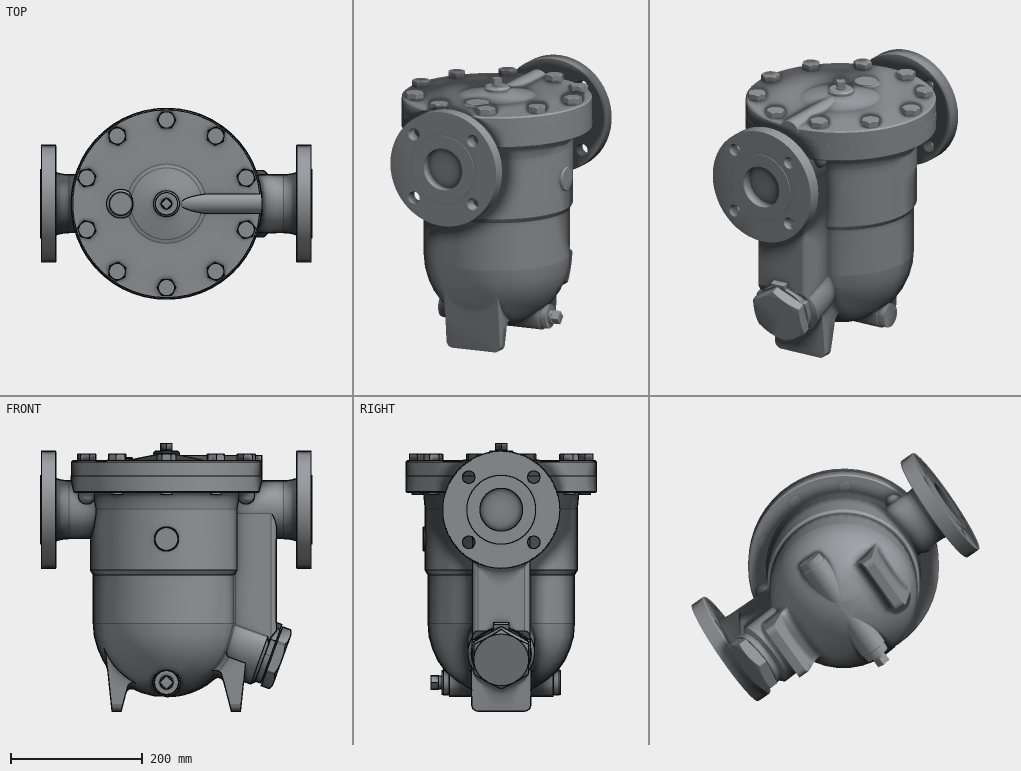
import cadquery as cq
import math


overall_length = 412.0
line_x = 15.0
line_z = 306.0
pipe_radius = 44.0
hub_radius = 47.5
flange_radius = 89.0
flange_thickness = 22.2
raised_face_radius = 52.5
raised_face_height = 1.2
bore_radius = 32.5
bore_depth = 18.5
hub_length = 19.5
flange_edge = 1.2
flange_hole_diameter = 19.0
flange_hole_offset = 49.5

body_radius = 115.8
neck_radius = 118.2
bowl_radius = 111.2
bowl_z = 133.0
step_low_z = 207.2
step_high_z = 214.2
neck_low_z = 307.5

rim_radius = 145.0
lid_radius = 144.5
rim_bottom_z = 332.0
joint_z = 357.0
lid_top_z = 380.5
rim_chamfer = 2.0

bolt_count = 10
bolt_circle_radius = 127.5
bolt_head_width = 24.7
bolt_head_height = 10.5
bolt_radius = 8.05
bolt_end_length = 2.5
blind_boss_radius = 12.8
blind_boss_z = 326.7
bolts_over_pipe = (2, 3, 7, 8)

cone_foot_radius = 60.0
cone_base_radius = 54.5
cone_base_height = 1.2
cone_top_radius = 19.8
cone_top_height = 8.2
hub_height = 14.5
hub_edge = 3.0
vent_neck_radius = 8.0
vent_square = 12.5
vent_square_z = 397.0
vent_top_z = 407.0
rib_radius = 17.7
rib_height = 8.0
lid_pad_x = -69.2
lid_pad_radius = 17.7
lid_pad_height = 4.5
lid_pad_edge = 1.2
lid_pad_foot = 4.0

front_pad_radius = 18.5
front_pad_z = 261.5
front_pad_y = -118.5
front_pad_edge = 1.2

housing_half_width = 43.5
housing_x = 167.0
housing_corner = 8.2
housing_cut_z = 122.0
housing_cut_x = 157.5
housing_cut_low_z = 111.0
plug_tilt = 20.0
plug_x = 145.0
plug_z = 89.0
plug_boss_radius = 50.5
plug_boss_length = 103.0
plug_boss_taper = 5.0
collar_radius = 44.0
collar_end = 14.0
lug_width = 23.5
lug_start = 5.5
plug_neck_radius = 39.5
plug_hex_start = 16.0
plug_hex_end = 32.0
plug_hex_width = 83.2
plug_corner = 2.5

drain_z = 43.5
drain_radius = 21.0
drain_half_length = 80.8
drain_chamfer_length = 6.0
drain_chamfer_height = 2.5
drain_ring_radius = 18.0
drain_sleeve_radius = 19.0
drain_sleeve_y = 87.5
drain_ring_y = 90.2
drain_neck_radius = 10.0
drain_neck_length = 5.0
drain_square = 15.0
drain_square_length = 11.5

foot_half_width = 45.0
foot_centre_offset = 90.5
foot_base_width = 14.0
foot_outer_slope = math.radians(6.0)
foot_inner_slope = math.radians(14.5)
foot_top_z = 107.0
foot_corner = 10.0

housing_blend = 3.5
plug_blend = 2.5
foot_blend = 8.5
foot_outer_blend = 14.5


def cylinder_x(radius, x_start, x_end, z):
    return cq.Workplane("YZ", origin=(x_start, 0, z)).circle(radius).extrude(x_end - x_start)


def cylinder_y(radius, y_start, y_end, z):
    return cq.Workplane("XZ", origin=(0, y_start, z)).circle(radius).extrude(y_start - y_end)


def hexagon_diameter(width):
    return width / math.cos(math.radians(30))


def hex_head(workplane, width, height):
    """Hexagon whose corners are turned down at the far end."""
    diameter = hexagon_diameter(width)
    turned = workplane.circle(diameter / 2).extrude(height)
    turned = turned.faces(cq.selectors.DirectionNthSelector(workplane.plane.zDir, -1))
    turned = turned.chamfer((diameter - width) / 4, (diameter - width) / 2)
    return workplane.polygon(6, diameter).extrude(height).intersect(turned)


def make_bowl():
    """Round-bottomed pot reaching up to the rim."""
    bowl_mid = bowl_radius * math.sin(math.radians(45))
    return (
        cq.Workplane("XZ")
        .moveTo(0, bowl_z - bowl_radius)
        .threePointArc((bowl_mid, bowl_z - bowl_mid), (bowl_radius, bowl_z))
        .lineTo(bowl_radius, rim_bottom_z)
        .lineTo(0, rim_bottom_z)
        .close()
        .revolve()
    )


def make_upper_body():
    """Wider upper part of the pot, with its flared neck."""
    return (
        cq.Workplane("XZ")
        .polyline([
            (0, step_low_z),
            (bowl_radius, step_low_z),
            (body_radius, step_high_z),
            (body_radius, neck_low_z),
            (neck_radius, rim_bottom_z),
            (0, rim_bottom_z),
        ])
        .close()
        .revolve()
    )


def make_rim():
    lower = cq.Workplane(origin=(0, 0, rim_bottom_z)).circle(rim_radius).extrude(joint_z - rim_bottom_z)
    lower = lower.faces("<Z").edges().chamfer(rim_chamfer)
    lid = cq.Workplane(origin=(0, 0, joint_z)).circle(lid_radius).extrude(lid_top_z - joint_z)
    lid = lid.faces(">Z").edges().chamfer(rim_chamfer)
    return lower.union(lid)


def make_bolts():
    """Heads on the lid; below the rim, bolt ends or round blind bosses beside the pipes."""
    bolts = cq.Workplane()
    head = hex_head(cq.Workplane(origin=(0, bolt_circle_radius, lid_top_z)), bolt_head_width, bolt_head_height)
    end_z = rim_bottom_z - bolt_end_length
    end = cq.Workplane(origin=(0, bolt_circle_radius, end_z)).circle(bolt_radius).extrude(joint_z - end_z)
    boss_place = (0, bolt_circle_radius, blind_boss_z)
    boss = cq.Workplane(origin=boss_place).circle(blind_boss_radius).extrude(joint_z - blind_boss_z)
    boss = boss.union(cq.Workplane(origin=boss_place).sphere(blind_boss_radius))
    for index in range(bolt_count):
        lower = boss if index in bolts_over_pipe else end
        angle = 360 / bolt_count * index
        for piece in (head, lower):
            bolts = bolts.add(piece.rotate((0, 0, 0), (0, 0, 1), angle))
    return bolts


def make_lid_centre():
    cone = (
        cq.Workplane("XZ", origin=(0, 0, lid_top_z))
        .polyline([
            (0, -4),
            (cone_foot_radius, -4),
            (cone_foot_radius, 0),
            (cone_base_radius, cone_base_height),
            (cone_top_radius, cone_top_height),
            (cone_top_radius, hub_height - hub_edge),
            (cone_top_radius - hub_edge, hub_height),
            (vent_neck_radius, hub_height),
            (vent_neck_radius, vent_square_z - lid_top_z),
            (0, vent_square_z - lid_top_z),
        ])
        .close()
        .revolve()
    )
    vent = cq.Workplane(origin=(0, 0, vent_square_z)).transformed(rotate=(0, 0, 45))
    vent = vent.rect(vent_square, vent_square).extrude(vent_top_z - vent_square_z)
    rib = cylinder_x(rib_radius, 0, rim_radius, lid_top_z + rib_height - rib_radius)
    pad = cq.Workplane(origin=(lid_pad_x, 0, joint_z)).circle(lid_pad_radius)
    pad = pad.extrude(lid_top_z + lid_pad_height - joint_z).faces(">Z").edges().fillet(lid_pad_edge)
    pad_foot = (
        cq.Workplane(origin=(lid_pad_x, 0, lid_top_z))
        .circle(lid_pad_radius + lid_pad_foot)
        .workplane(offset=lid_pad_height / 2)
        .circle(lid_pad_radius)
        .loft()
    )
    return cone.union(vent).union(rib).union(pad).union(pad_foot)


def make_pipe_end():
    """Pipe, flared hub and flange on the +X side of the pipe line's middle."""
    face = overall_length / 2
    front = face - raised_face_height
    back = front - flange_thickness
    flare_start = back - hub_length
    flare_mid = (back - hub_length / 2, pipe_radius + (hub_radius - pipe_radius) / 4)
    end = (
        cq.Workplane("XY")
        .moveTo(bowl_radius - line_x - pipe_radius, 0)
        .lineTo(bowl_radius - line_x - pipe_radius, pipe_radius)
        .lineTo(flare_start, pipe_radius)
        .threePointArc(flare_mid, (back, hub_radius))
        .lineTo(back, flange_radius - flange_edge)
        .lineTo(back + flange_edge, flange_radius)
        .lineTo(front, flange_radius)
        .lineTo(front, raised_face_radius)
        .lineTo(face, raised_face_radius)
        .lineTo(face, 0)
        .close()
        .revolve(360, (0, 0, 0), (1, 0, 0))
    )
    spacing = 2 * flange_hole_offset
    holes = (
        cq.Workplane("YZ", origin=(back, 0, 0))
        .rarray(spacing, spacing, 2, 2)
        .circle(flange_hole_diameter / 2)
        .extrude(face - back)
    )
    return end.cut(holes).cut(cylinder_x(bore_radius, face - bore_depth, face, 0))


def make_pipe_ends():
    end = make_pipe_end()
    return end.union(end.mirror("YZ")).translate((line_x, 0, line_z))


def make_front_pad():
    pad = cylinder_y(front_pad_radius, 0, front_pad_y, front_pad_z)
    return pad.faces("<Y").edges().chamfer(front_pad_edge)


def make_housing():
    outline = [
        (0, line_z),
        (housing_x, line_z),
        (housing_x, housing_cut_z),
        (housing_cut_x, housing_cut_low_z),
        (plug_x, plug_z),
        (0, plug_z),
    ]
    housing = cq.Workplane("XZ", origin=(0, housing_half_width, 0)).polyline(outline).close()
    return housing.extrude(2 * housing_half_width).edges("|Z and >X").fillet(housing_corner)


def tilt_into_place(plug_part):
    """Turn a part built along +Z onto the inclined plug axis."""
    return plug_part.rotate((0, 0, 0), (0, 1, 0), 90 + plug_tilt).translate((plug_x, 0, plug_z))


def make_plug_boss():
    boss = cq.Workplane(origin=(0, 0, -plug_boss_length)).circle(plug_boss_radius).extrude(plug_boss_length)
    return tilt_into_place(boss)


def make_plug():
    """Tapered end of the boss, lugged collar and hexagon plug."""
    taper = (
        cq.Workplane()
        .circle(plug_boss_radius)
        .workplane(offset=plug_boss_taper)
        .circle(plug_boss_radius - plug_boss_taper)
        .loft()
    )
    collar = cq.Workplane().circle(collar_radius).extrude(collar_end)
    lug_length = collar_end - lug_start
    top_lug = cq.Workplane(origin=(-plug_boss_radius / 2, 0, lug_start)).rect(plug_boss_radius, lug_width)
    side_lugs = cq.Workplane(origin=(-lug_width / 2, 0, lug_start)).rect(lug_width, 2 * collar_radius)
    collar = collar.union(top_lug.extrude(lug_length)).union(side_lugs.extrude(lug_length))
    neck = cq.Workplane().circle(plug_neck_radius).extrude(plug_hex_start)
    hexagon = hex_head(cq.Workplane(origin=(0, 0, plug_hex_start)), plug_hex_width, plug_hex_end - plug_hex_start)
    hexagon = hexagon.edges("|Z").fillet(plug_corner)
    return tilt_into_place(taper.union(collar).union(neck).union(hexagon))


def make_drain():
    pipe = cylinder_y(drain_radius, drain_half_length, -drain_half_length, drain_z)
    pipe = pipe.faces("<Y or >Y").edges().chamfer(drain_chamfer_height, drain_chamfer_length)
    ring = cylinder_y(drain_ring_radius, drain_ring_y, -drain_ring_y, drain_z)
    sleeve = cylinder_y(drain_sleeve_radius, drain_sleeve_y, -drain_sleeve_y, drain_z)
    square_y = -drain_ring_y - drain_neck_length
    neck = cylinder_y(drain_neck_radius, 0, square_y, drain_z)
    square = cq.Workplane("XZ", origin=(0, square_y, drain_z)).transformed(rotate=(0, 0, 45))
    square = square.rect(drain_square, drain_square).extrude(drain_square_length)
    return pipe.union(sleeve).union(ring).union(neck).union(square)


def make_foot():
    """Tapered foot on the +X side of the middle of the pipe line."""
    inner = foot_centre_offset - foot_base_width / 2
    outer = foot_centre_offset + foot_base_width / 2
    outline = [
        (inner, 0),
        (outer, 0),
        (outer + foot_top_z * math.tan(foot_outer_slope), foot_top_z),
        (inner - foot_top_z * math.tan(foot_inner_slope), foot_top_z),
    ]
    foot = cq.Workplane("XZ", origin=(0, foot_half_width, 0)).polyline(outline).close()
    foot = foot.extrude(2 * foot_half_width)
    return foot.edges("|X and <Z").fillet(foot_corner)


def joint_edges(joined, first, second):
    """Edges of the joined solid that lie on the skins of both its parts."""
    tolerance = 0.0005
    skins = first.shells().vals() + second.shells().vals()
    edges = []
    for edge in joined.edges().vals():
        middle = cq.Vertex.makeVertex(*edge.positionAt(0.5).toTuple())
        if all(middle.distance(skin) < tolerance for skin in skins):
            edges.append(edge)
    return edges


def join_blended(first, second, radius, wanted):
    """Join two solids and blend those of their joint edges that are wanted."""
    joined = first.union(second)
    edges = [edge for edge in joint_edges(joined, first, second) if wanted(edge)]
    return joined.newObject(edges).fillet(radius)


def every_edge(edge):
    return True


def is_below_boss_end(edge):
    tilt = math.radians(plug_tilt)
    axis = cq.Vector(math.cos(tilt), 0, -math.sin(tilt))
    margin = 0.5
    return (edge.positionAt(0.5) - cq.Vector(plug_x, 0, plug_z)).dot(axis) < -margin


def blend_left_foot(bowl, left_foot):
    """Blend the broad outer and inner faces of the foot into the bowl; its side faces stay sharp."""
    joined = bowl.union(left_foot)
    across = [edge for edge in joint_edges(joined, bowl, left_foot) if abs(edge.Center().y) < foot_half_width / 2]
    inner, outer = sorted(across, key=lambda edge: edge.Center().z)
    joined = joined.newObject([inner]).fillet(foot_blend)
    return joined.newObject([outer]).fillet(foot_outer_blend)


bowl = make_bowl()
foot = make_foot()
right_foot = foot.translate((line_x, 0, 0))
left_foot = foot.mirror("YZ").translate((line_x, 0, 0))

result = join_blended(bowl, make_housing(), housing_blend, every_edge)
result = join_blended(result, make_plug_boss(), plug_blend, is_below_boss_end)
for feature in (
    join_blended(bowl, right_foot, foot_blend, every_edge),
    blend_left_foot(bowl, left_foot),
    make_plug(),
    make_upper_body(),
    make_drain(),
    make_front_pad(),
    make_rim(),
    make_lid_centre(),
    make_pipe_ends(),
):
    result = result.union(feature)
for bolt in make_bolts().vals():
    result = result.union(cq.Workplane(bolt))